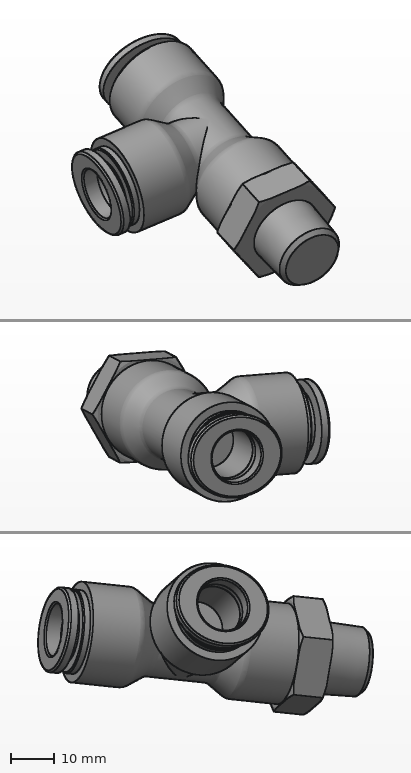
import cadquery as cq
import math


arm_length = 25.2
neck_radius = 8.6
socket_radius = 23.5 / 2
cone_start = 8.0
cone_end = 13.0
cone_blend_radius = 2.3
tube_bore_radius = 12.15 / 2
tube_stop = cone_end

ring_radius = 19.6 / 2
ring_length = 1.75
ring_chamfer = 0.3
sleeve_bore_radius = 12.2 / 2

collar_neck_radius = 14.2 / 2
collar_neck_length = 1.75
flange_width = 22.6
flange_height = 2 * ring_radius
flange_thickness = 2.2
flange_chamfer = 0.45
collar_lead_in = 0.4

overall_length = 75.9
hex_across_flats = 24.0
hex_length = 8.0
hex_face_radius = 12.7
hex_chamfer_depth = 0.4
thread_base_radius = 8.5
thread_tip_radius = 8.1
thread_chamfer_length = 1.2
thread_chamfer_depth = 1.0

ring_start = arm_length
collar_start = ring_start + ring_length
port_reach = collar_start + collar_neck_length + flange_thickness
thread_end = overall_length - port_reach
thread_start = arm_length + hex_length
hex_corner_radius = hex_across_flats / 2 / math.cos(math.pi / 6)

ACROSS_X_ARM = (0, 1, 0)
ACROSS_Y_ARM = (1, 0, 0)
PORTS = [((-1, 0, 0), ACROSS_X_ARM), ((0, -1, 0), ACROSS_Y_ARM)]
OUTLET = ((1, 0, 0), ACROSS_X_ARM)


def arm_plane(arm, distance):
    """Workplane across an arm at a distance from the crossing, facing outward."""
    outward, across = arm
    origin = tuple(distance * component for component in outward)
    return cq.Workplane(cq.Plane(origin=origin, xDir=across, normal=outward))


def outer_face(arm):
    """Selector of the face furthest out along an arm."""
    outward, _ = arm
    return cq.selectors.DirectionMinMaxSelector(cq.Vector(outward), True)


def make_arm(arm):
    """Neck, blended cone and socket of one housing arm."""
    neck = arm_plane(arm, 0).circle(neck_radius).extrude(cone_start)
    cone = (
        arm_plane(arm, cone_start)
        .circle(neck_radius)
        .workplane(offset=cone_end - cone_start)
        .circle(socket_radius)
        .loft(ruled=True)
    )
    socket = arm_plane(arm, cone_end).circle(socket_radius).extrude(arm_length - cone_end)
    blank = neck.union(cone).union(socket)
    rims = [
        edge
        for edge in blank.edges("%CIRCLE").vals()
        if cone_start / 2 < edge.Center().Length < (cone_end + arm_length) / 2
    ]
    return blank.newObject(rims).fillet(cone_blend_radius)


def make_housing():
    """Three arms joined at the crossing, with a blind tube bore in each port."""
    housing = make_arm(OUTLET)
    for port in PORTS:
        housing = housing.union(make_arm(port))
    for port in PORTS:
        bore = arm_plane(port, tube_stop).circle(tube_bore_radius).extrude(arm_length - tube_stop)
        housing = housing.cut(bore)
    return housing


def make_ring(port):
    """Retaining ring seated against the end of a housing arm."""
    return (
        arm_plane(port, ring_start)
        .circle(ring_radius)
        .extrude(ring_length)
        .faces(outer_face(port))
        .chamfer(ring_chamfer)
        .cut(arm_plane(port, ring_start).circle(sleeve_bore_radius).extrude(ring_length))
    )


def make_collar(port):
    """Release collar with its round neck against the ring and its oval flange outermost."""
    collar_length = collar_neck_length + flange_thickness
    neck = arm_plane(port, collar_start).circle(collar_neck_radius).extrude(collar_neck_length)
    flange = (
        arm_plane(port, collar_start + collar_neck_length)
        .ellipse(flange_width / 2, flange_height / 2)
        .extrude(flange_thickness)
        .faces(outer_face(port))
        .chamfer(flange_chamfer)
    )
    bore = arm_plane(port, collar_start).circle(sleeve_bore_radius).extrude(collar_length)
    lead_in = (
        arm_plane(port, port_reach - collar_lead_in)
        .circle(sleeve_bore_radius)
        .workplane(offset=collar_lead_in)
        .circle(sleeve_bore_radius + collar_lead_in)
        .loft(ruled=True)
    )
    return neck.union(flange).cut(bore).cut(lead_in)


def revolve_about_x(points):
    """Solid of revolution about the X axis from (axial, radial) points."""
    return cq.Workplane("XY").polyline(points).close().revolve(360, (0, 0, 0), (1, 0, 0))


def make_nipple():
    """Chamfered hexagon with a tapered thread blank."""
    hexagon = arm_plane(OUTLET, arm_length).polygon(6, 2 * hex_corner_radius).extrude(hex_length)
    chamfer_envelope = revolve_about_x([
        (arm_length, 0),
        (arm_length, hex_face_radius),
        (arm_length + hex_chamfer_depth, hex_corner_radius),
        (thread_start - hex_chamfer_depth, hex_corner_radius),
        (thread_start, hex_face_radius),
        (thread_start, 0),
    ])
    thread = revolve_about_x([
        (thread_start, 0),
        (thread_start, thread_base_radius),
        (thread_end - thread_chamfer_length, thread_tip_radius),
        (thread_end, thread_tip_radius - thread_chamfer_depth),
        (thread_end, 0),
    ])
    return hexagon.intersect(chamfer_envelope).union(thread)


housing = make_housing()
rings = [make_ring(port) for port in PORTS]
collars = [make_collar(port) for port in PORTS]
nipple = make_nipple()

result = cq.Compound.makeCompound([
    housing.val(),
    *[ring.val() for ring in rings],
    *[collar.val() for collar in collars],
    nipple.val(),
])